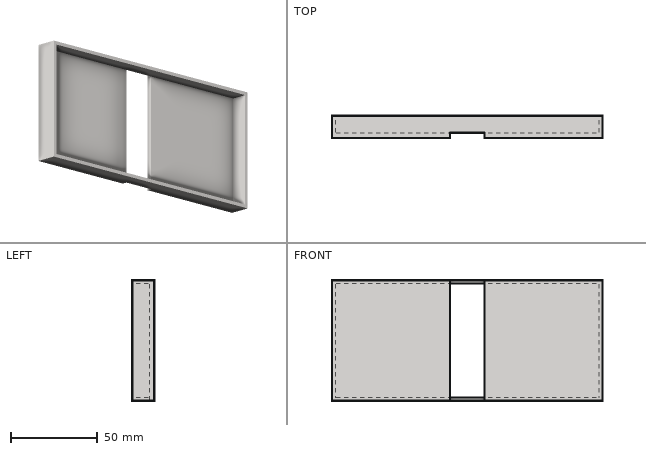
import cadquery as cq

length = 157.0
depth = 13.0
height = 70.0

front_thickness = 3.0
rim_thickness = 2.0

gap_width = 20.0


def make_block():
    """Solid block, centred in X and Z, with its front face at Y = 0."""
    return cq.Workplane("XY").box(length, depth, height, centered=(True, False, True))


def make_cavity():
    """Space behind the front panel, open at the back and framed by the rim."""
    return (
        cq.Workplane("XY")
        .box(
            length - 2 * rim_thickness,
            depth - front_thickness,
            height - 2 * rim_thickness,
            centered=(True, False, True),
        )
        .translate((0, front_thickness, 0))
    )


def make_front_gap():
    """Gap that splits the front panel in two over the full height."""
    return cq.Workplane("XY").box(
        gap_width, front_thickness, height, centered=(True, False, True)
    )


result = make_block().cut(make_cavity()).cut(make_front_gap())